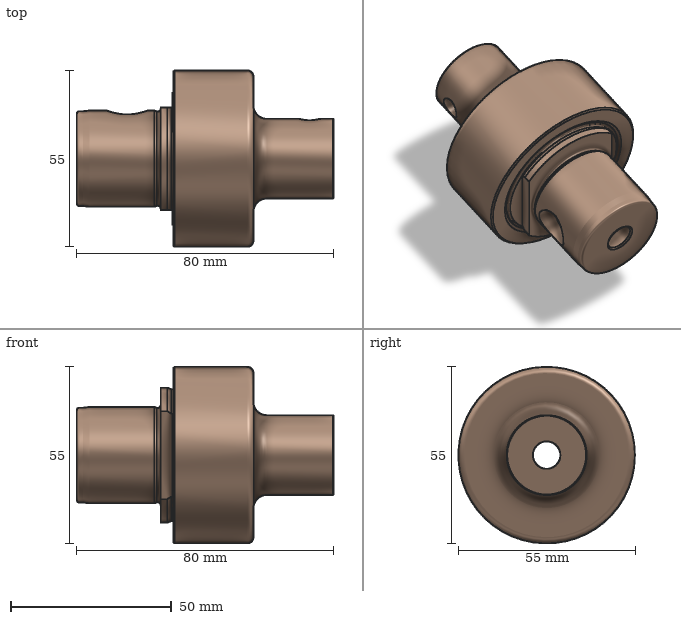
import cadquery as cq
import math

total_length = 80.0

bore_radius = 4.2
bore_chamfer = 0.5

shank_radius = 15.0
nose_round = 0.8
nose_radius = 14.8
nose_length = 1.9
lead_in_end = 4.0

groove_radius = 14.7
groove_start = 24.2
groove_taper = 0.8
root_round = 0.8

flange_start = 26.1
flange_radius = 21.0
flange_rim = 2.2
flange_back_end = 29.4
flats_width = 32.0

drum_start = 30.0
drum_end = 55.0
drum_radius = 27.5
drum_chamfer = 0.5
drum_round = 2.0
seat_chamfer_width = 1.0
seat_chamfer_depth = 0.6

collar_radius = 21.5
neck_radius = 20.6
neck_round = 0.8
collar_start = drum_start + seat_chamfer_depth
neck_end = collar_start - neck_round
seat_end = 42.5

cone_position = 15.7
cone_mouth_radius = 6.4
cone_depth = 4.8
cone_half_angle = 22.5

stub_radius = 12.5
stub_chamfer = 0.2
stub_fillet = 4.0

screw_hole_position = 72.5
screw_hole_radius = 3.4

arc_middle = math.sqrt(0.5)


def revolve_about_x(profile):
    """Turn a closed (x, radius) outline about the X axis."""
    return profile.close().revolve(360, (0, 0, 0), (1, 0, 0))


def convex_round(profile, x, radius, size):
    """Quarter round from a face at x up to the cylinder of the given radius."""
    middle = (x + size * (1 - arc_middle), radius - size * (1 - arc_middle))
    return profile.threePointArc(middle, (x + size, radius))


def concave_round(profile, x, radius, size):
    """Quarter fillet from a cylinder of the given radius up to a face at x."""
    middle = (x - size * (1 - arc_middle), radius + size * (1 - arc_middle))
    return profile.threePointArc(middle, (x, radius + size))


def radial_plane(x, y):
    """Plane facing +Y whose origin is on the axis position x, at height y."""
    return cq.Workplane(cq.Plane(origin=(x, y, 0), xDir=(1, 0, 0), normal=(0, 1, 0)))


def adapter_blank():
    """Turned shape of the shank, relief groove, flange and collar."""
    profile = cq.Workplane("XY").moveTo(bore_chamfer, bore_radius).lineTo(0, bore_radius + bore_chamfer)
    profile = profile.lineTo(0, nose_radius - nose_round)
    profile = convex_round(profile, 0, nose_radius, nose_round)
    profile = (
        profile.lineTo(nose_length, nose_radius)
        .lineTo(lead_in_end, shank_radius)
        .lineTo(groove_start, shank_radius)
        .lineTo(groove_start + groove_taper, groove_radius)
        .lineTo(flange_start - root_round, groove_radius)
    )
    profile = concave_round(profile, flange_start, groove_radius, root_round)
    profile = (
        profile.lineTo(flange_start, flange_radius)
        .lineTo(flange_start + flange_rim, flange_radius)
        .lineTo(flange_back_end, neck_radius)
        .lineTo(neck_end, neck_radius)
    )
    profile = concave_round(profile, collar_start, neck_radius, neck_round)
    profile = profile.lineTo(collar_start, collar_radius).lineTo(seat_end, collar_radius)
    profile = profile.lineTo(seat_end, bore_radius)
    return revolve_about_x(profile)


def wrench_flat_cutter(side):
    """Block that removes the flange beyond one flat; side is +1 or -1 along Y."""
    flange_length = neck_end - flange_start
    depth = flange_radius - flats_width / 2
    return cq.Workplane("XY").box(flange_length, depth, 2 * flange_radius).translate(
        (flange_start + flange_length / 2, side * (flats_width + depth) / 2, 0)
    )


def cone_recess_cutter():
    """Cone that narrows from the +Y surface of the shank toward the axis."""
    floor_radius = cone_mouth_radius - cone_depth * math.tan(math.radians(cone_half_angle))
    return (
        radial_plane(cone_position, shank_radius - cone_depth)
        .circle(floor_radius)
        .workplane(offset=cone_depth)
        .circle(cone_mouth_radius)
        .loft(ruled=True)
    )


def make_adapter():
    adapter = adapter_blank()
    for side in (-1, 1):
        adapter = adapter.cut(wrench_flat_cutter(side))
    return adapter.cut(cone_recess_cutter())


def housing_blank():
    """Turned shape of the drum, its seat for the collar and the stub."""
    profile = (
        cq.Workplane("XY")
        .moveTo(seat_end, bore_radius)
        .lineTo(seat_end, collar_radius)
        .lineTo(drum_start + seat_chamfer_depth, collar_radius)
        .lineTo(drum_start, collar_radius + seat_chamfer_width)
        .lineTo(drum_start, drum_radius - drum_chamfer)
        .lineTo(drum_start + drum_chamfer, drum_radius)
        .lineTo(drum_end - drum_round, drum_radius)
        .threePointArc(
            (drum_end - drum_round * (1 - arc_middle), drum_radius - drum_round * (1 - arc_middle)),
            (drum_end, drum_radius - drum_round),
        )
        .lineTo(drum_end, stub_radius + stub_fillet)
        .threePointArc(
            (
                drum_end + stub_fillet * (1 - arc_middle),
                stub_radius + stub_fillet * (1 - arc_middle),
            ),
            (drum_end + stub_fillet, stub_radius),
        )
        .lineTo(total_length - stub_chamfer, stub_radius)
        .lineTo(total_length, stub_radius - stub_chamfer)
        .lineTo(total_length, bore_radius)
    )
    return revolve_about_x(profile)


def make_housing():
    screw_hole = radial_plane(screw_hole_position, 0).circle(screw_hole_radius).extrude(stub_radius)
    return housing_blank().cut(screw_hole)


adapter = make_adapter()
housing = make_housing()

result = cq.Compound.makeCompound([adapter.val(), housing.val()])